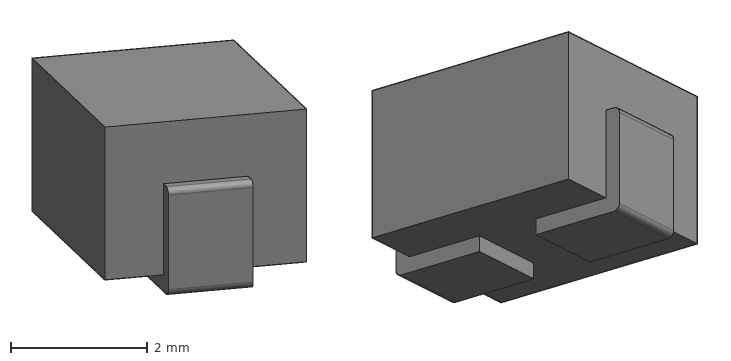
import cadquery as cq

overall_length = 4.15
overall_height = 2.6

strip_thickness = 0.255
terminal_width = 1.305
terminal_height = 1.65
foot_length = 1.552
bend_radius = 0.1

body_length = overall_length - 2 * strip_thickness
body_depth = 3.1
body_height = overall_height - strip_thickness


def make_body():
    """Rectangular block raised above the base plane by the foot thickness."""
    return (
        cq.Workplane("XY")
        .workplane(offset=strip_thickness)
        .box(body_length, body_depth, body_height, centered=(True, True, False))
    )


def make_left_terminal():
    """L-shaped strip on the -X end, with its two outer long edges rounded."""
    outer_x = -overall_length / 2
    inner_x = outer_x + strip_thickness
    foot_end_x = outer_x + foot_length
    profile = [
        (outer_x, 0),
        (foot_end_x, 0),
        (foot_end_x, strip_thickness),
        (inner_x, strip_thickness),
        (inner_x, terminal_height),
        (outer_x, terminal_height),
    ]
    return (
        cq.Workplane("XZ")
        .polyline(profile)
        .close()
        .extrude(terminal_width / 2, both=True)
        .faces("<X")
        .edges("|Y")
        .fillet(bend_radius)
    )


left_terminal = make_left_terminal()
right_terminal = left_terminal.mirror("YZ")

result = make_body().union(left_terminal).union(right_terminal)